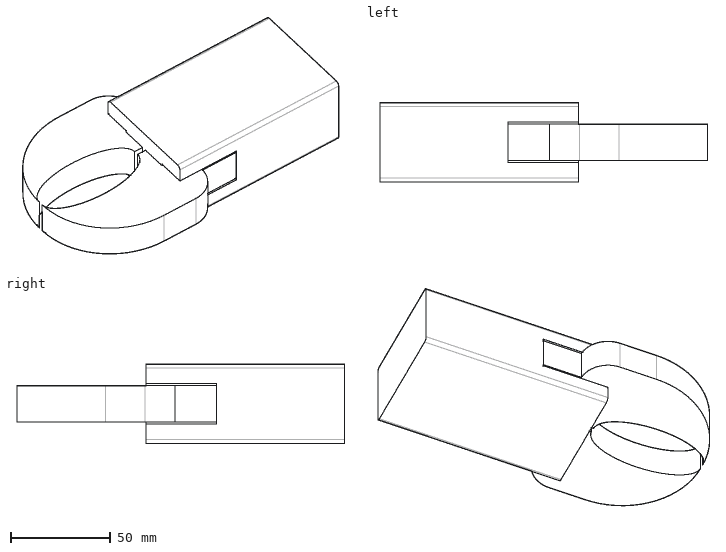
import cadquery as cq

body_width = 60.0
body_length = 100.0
body_height = 40.0
body_fillet = 2.0

pocket_depth = 15.0
pocket_length = 35.5
pocket_height = 20.3
root_inset = 0.2

overall_length = 165.0
overall_width = 88.1
jaw_thickness = 18.3
jaw_gap = 2.5
shoulder_radius = 15.0
shoulder_front = 0.5
nose_length = 44.5
opening_length = 60.0
opening_width = 27.0

inner_x = jaw_gap / 2
outer_x = overall_width / 2
body_side = body_width / 2
tip_y = body_length - overall_length
nose_start = tip_y + nose_length
shoulder_start = -shoulder_front
shoulder_back = shoulder_start + shoulder_radius
jaw_base = (0, 0, -jaw_thickness / 2)


def make_body():
    bar = (
        cq.Workplane("XY")
        .box(body_width, body_length, body_height, centered=(True, False, True))
        .edges("|Y")
        .fillet(body_fillet)
    )
    for side in (-1, 1):
        pocket = (
            cq.Workplane("XY")
            .box(pocket_depth, pocket_length, pocket_height, centered=(True, False, True))
            .translate((side * (body_side - pocket_depth / 2), 0, 0))
        )
        bar = bar.cut(pocket)
    return bar


def make_jaw():
    """Right-hand jaw; its elliptical curves are centred on the inner face."""
    nose_width = outer_x - inner_x
    opening_half = opening_length / 2
    opening_reach = opening_width / 2 - inner_x
    jaw = (
        cq.Workplane("XY", origin=jaw_base)
        .moveTo(inner_x, shoulder_back)
        .lineTo(outer_x - shoulder_radius, shoulder_back)
        .radiusArc((outer_x, shoulder_start), shoulder_radius)
        .lineTo(outer_x, nose_start)
        .lineTo(inner_x, nose_start)
        .close()
        .extrude(jaw_thickness)
    )
    nose = (
        cq.Workplane("XY", origin=jaw_base)
        .center(inner_x, nose_start)
        .ellipse(nose_width, nose_length)
        .extrude(jaw_thickness)
    )
    nose_half = (
        cq.Workplane("XY")
        .box(nose_width, nose_length, jaw_thickness, centered=(False, False, True))
        .translate((inner_x, tip_y, 0))
    )
    opening = (
        cq.Workplane("XY", origin=jaw_base)
        .center(inner_x, tip_y + opening_half)
        .ellipse(opening_reach, opening_half)
        .extrude(jaw_thickness)
    )
    return jaw.union(nose.intersect(nose_half)).cut(opening)


def make_root():
    """Right-hand jaw root, set just inside the body side."""
    return (
        cq.Workplane("XY")
        .box(pocket_depth - root_inset, pocket_length, jaw_thickness, centered=(False, False, True))
        .translate((body_side - pocket_depth, 0, 0))
    )


right_side = make_jaw().union(make_root())
left_side = right_side.mirror("YZ")
result = make_body().union(right_side).union(left_side)